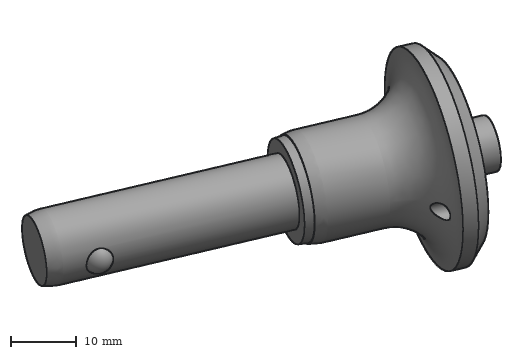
import cadquery as cq
import math

total_length = 73.8

shank_length = 40.6
shank_radius = 6.0
tip_length = 2.5
tip_end_radius = 5.5

collar_radius = 8.85
nose_length = 1.55
nose_end_radius = 8.3
nose_back_radius = 8.4
shoulder_length = 2.0
shoulder_front_radius = 8.55

rim_radius = 17.5
rim_thickness = 2.5
rim_chamfer = 2.5
flare_radius = rim_radius - collar_radius

button_radius = 4.4
button_length = 6.0
button_fillet = 0.45

ball_radius = 2.4
ball_reach = 7.3
ball_from_tip = 8.4

hole_radius = 1.5
hole_offset = 12.5

shoulder_start = shank_length + nose_length
shoulder_end = shoulder_start + shoulder_length
handle_back = total_length - button_length
chamfer_start = handle_back - rim_chamfer
rim_start = chamfer_start - rim_thickness
flare_start = rim_start - flare_radius
button_fillet_start = total_length - button_fillet


def tangent_arc_middle(radius, end_radius, start, end):
    """Midpoint of an arc that leaves a cylinder at `start` tangentially and ends at `end`."""
    drop = radius - end_radius
    run = abs(end - start)
    arc_radius = (run**2 + drop**2) / (2 * drop)
    half_angle = math.asin(run / arc_radius) / 2
    along = math.copysign(arc_radius * math.sin(half_angle), end - start)
    return radius - arc_radius * (1 - math.cos(half_angle)), start + along


def turned_body():
    """Revolve the half profile, given as (radius, Y) points."""
    tip_middle = tangent_arc_middle(shank_radius, tip_end_radius, tip_length, 0)
    shoulder_middle = tangent_arc_middle(
        collar_radius, shoulder_front_radius, shoulder_end, shoulder_start
    )
    flare_middle = (
        rim_radius - flare_radius * math.cos(math.pi / 4),
        flare_start + flare_radius * math.sin(math.pi / 4),
    )
    profile = (
        cq.Workplane("XY")
        .lineTo(tip_end_radius, 0)
        .threePointArc(tip_middle, (shank_radius, tip_length))
        .lineTo(shank_radius, shank_length)
        .lineTo(nose_end_radius, shank_length)
        .lineTo(nose_back_radius, shoulder_start)
        .lineTo(shoulder_front_radius, shoulder_start)
        .threePointArc(shoulder_middle, (collar_radius, shoulder_end))
        .lineTo(collar_radius, flare_start)
        .threePointArc(flare_middle, (rim_radius, rim_start))
        .lineTo(rim_radius, chamfer_start)
        .lineTo(rim_radius - rim_chamfer, handle_back)
        .lineTo(button_radius, handle_back)
        .lineTo(button_radius, button_fillet_start)
        .tangentArcPoint((button_radius - button_fillet, total_length), relative=False)
        .lineTo(0, total_length)
        .close()
    )
    return profile.revolve(360, (0, 0, 0), (0, 1, 0))


def locking_ball(side):
    """Ball standing out of the shank on the +X (side = 1) or -X (side = -1) side."""
    center_x = side * (ball_reach - ball_radius)
    return cq.Workplane("XY").sphere(ball_radius).translate((center_x, ball_from_tip, 0))


def lanyard_hole():
    """Cutter parallel to the pin axis, running through flare and rim."""
    return (
        cq.Workplane("XZ", origin=(hole_offset, total_length, 0))
        .circle(hole_radius)
        .extrude(total_length)
    )


result = turned_body()
for side in (-1, 1):
    result = result.union(locking_ball(side))
result = result.cut(lanyard_hole())